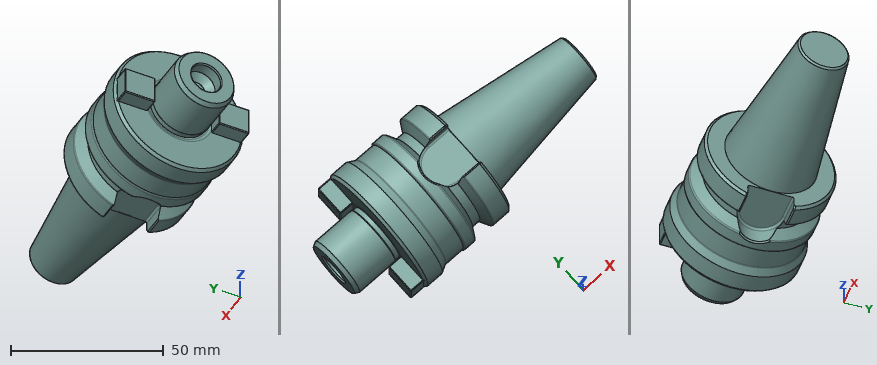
import cadquery as cq
import math


tolerance = 0.001

pilot_radius = 22.0 / 2
pilot_chamfer_length = 1.6
pilot_chamfer_drop = 0.9
relief_radius = 21.5 / 2
relief_start_x = 17.1
relief_bevel = pilot_radius - relief_radius
bore_radius = 11.1 / 2
bore_mouth_radius = 11.6 / 2
bore_mouth_length = 0.6
bore_depth = 4.5
bore_floor_radius = 6.1 / 2
bore_cone_depth = bore_radius - bore_floor_radius

face_x = 18.8
undercut_radius = 12.5
undercut_depth = 0.3
undercut_slope_width = 1.1
flange_radius = 48.0 / 2
flange_chamfer_drop = 0.9
flange_chamfer_length = 1.1
flange_end_x = 26.2
waist_start_x = 29.0
waist_radius = 45.0 / 2
waist_fillet = 0.5
waist_end_x = 36.6
collar_start_x = 36.9
collar_radius = 46.0 / 2
collar_fillet = 0.4

groove_start_x = 43.7
groove_end_x = 47.0
groove_radius = 19.0
groove_wall_angle = 30
groove_wall_length = (collar_radius - groove_radius) * math.tan(math.radians(groove_wall_angle))
groove_front_fillet = 0.6
groove_rear_fillet = 0.4
collar_end_x = groove_start_x - groove_wall_length
rear_flange_start_x = groove_end_x + groove_wall_length
rear_face_x = 57.0
rear_chamfer = 0.9

total_length = 107.4
taper_radius = 16.16
taper_slope = 7 / 24 / 2
taper_tip_chamfer = 0.6
taper_tip_x = total_length - taper_tip_chamfer
taper_tip_radius = taper_radius - (taper_tip_x - rear_face_x) * taper_slope

key_width = 10.0
key_front_x = 13.3
key_inner_y = 11.8
key_outer_y = 23.0
key_embed = 1.6
key_bevel = 0.3

slot_half_width = 8.1
slot_center_x = 48.0
slot_floor_z = 16.3
slot_floor_fillet = 0.8
slot_mouth_chamfer = 0.5


def revolved(profile):
    """Spin a closed (x, radius) outline around the X axis."""
    return cq.Workplane("XY").polyline(profile).close().revolve(360, (0, 0, 0), (1, 0, 0))


def turned_body():
    profile = [
        (0, 0),
        (0, pilot_radius - pilot_chamfer_drop),
        (pilot_chamfer_length, pilot_radius),
        (relief_start_x, pilot_radius),
        (relief_start_x + relief_bevel, relief_radius),
        (face_x + undercut_depth, relief_radius),
        (face_x + undercut_depth, undercut_radius - undercut_slope_width),
        (face_x, undercut_radius),
        (face_x, flange_radius - flange_chamfer_drop),
        (face_x + flange_chamfer_length, flange_radius),
        (flange_end_x, flange_radius),
        (waist_start_x, waist_radius),
        (waist_end_x, waist_radius),
        (collar_start_x, collar_radius),
        (collar_end_x, collar_radius),
        (groove_start_x, groove_radius),
        (groove_end_x, groove_radius),
        (rear_flange_start_x, collar_radius),
        (rear_face_x - rear_chamfer, collar_radius),
        (rear_face_x, collar_radius - rear_chamfer),
        (rear_face_x, taper_radius),
        (taper_tip_x, taper_tip_radius),
        (total_length, taper_tip_radius - taper_tip_chamfer),
        (total_length, 0),
    ]
    return revolved(profile)


def pilot_bore():
    profile = [
        (0, 0),
        (0, bore_mouth_radius),
        (bore_mouth_length, bore_radius),
        (bore_depth, bore_radius),
        (bore_depth + bore_cone_depth, bore_floor_radius),
        (bore_depth + bore_cone_depth, 0),
    ]
    return revolved(profile)


def driving_key(side):
    length = face_x + key_embed - key_front_x
    depth = key_outer_y - key_inner_y
    center = (key_front_x + length / 2, side * (key_inner_y + key_outer_y) / 2, 0)
    key = cq.Workplane("XY").box(length, depth, key_width).edges("|X or <X").chamfer(key_bevel)
    return key.translate(center)


def drive_slot():
    """Round-ended slot cutter, open at the rear face, with a filleted floor."""
    slot = (
        cq.Workplane("XY")
        .workplane(offset=slot_floor_z)
        .moveTo(total_length, -slot_half_width)
        .lineTo(slot_center_x, -slot_half_width)
        .threePointArc((slot_center_x - slot_half_width, 0), (slot_center_x, slot_half_width))
        .lineTo(total_length, slot_half_width)
        .close()
        .extrude(flange_radius - slot_floor_z)
    )
    return slot.faces("<Z").edges("not >X").fillet(slot_floor_fillet)


def chamfer_slot_mouths(body):
    """Break the slot edges along the collar, the rear flange rim and its rear chamfer."""

    def is_mouth(edge):
        middle = edge.positionAt(0.5)
        bounds = edge.BoundingBox()
        widest_y = max(abs(bounds.ymin), abs(bounds.ymax))
        on_rim = math.hypot(middle.y, middle.z) > collar_radius - rear_chamfer
        return on_rim and widest_y < slot_half_width + tolerance

    return body.newObject(body.edges().filter(is_mouth).vals()).chamfer(slot_mouth_chamfer)


def round_edge(body, x, edge_radius, fillet_radius):
    """Fillet the circular edge that lies at the given X and radius."""
    def is_wanted(edge):
        return (
            edge.geomType() == "CIRCLE"
            and math.isclose(edge.Center().x, x, abs_tol=tolerance)
            and math.isclose(edge.radius(), edge_radius, abs_tol=tolerance)
        )

    return body.newObject(body.edges().filter(is_wanted).vals()).fillet(fillet_radius)


body = turned_body().cut(pilot_bore())

slot = drive_slot()
for turn in (0, 180):
    body = body.cut(slot.rotate((0, 0, 0), (1, 0, 0), turn))
body = chamfer_slot_mouths(body)

body = round_edge(body, waist_start_x, waist_radius, waist_fillet)
body = round_edge(body, collar_start_x, collar_radius, collar_fillet)
body = round_edge(body, collar_end_x, collar_radius, groove_front_fillet)
body = round_edge(body, rear_flange_start_x, collar_radius, groove_rear_fillet)

for side in (1, -1):
    body = body.union(driving_key(side))

result = body